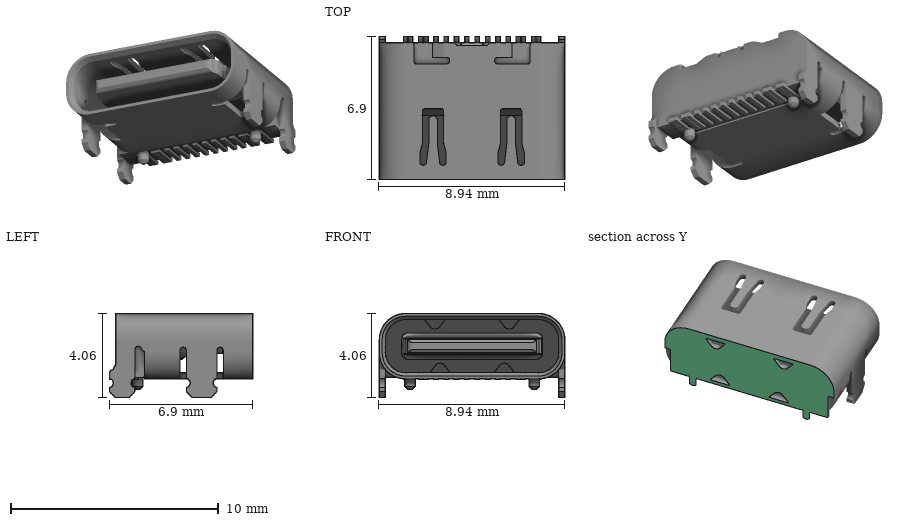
import cadquery as cq
import math


shell_width = 8.94
shell_height = 3.16
shell_depth = 6.6
shell_radius = 1.28
wall = 0.3
lip_chamfer = 0.16
lip_chamfer_depth = 0.3

half_width = shell_width / 2
shell_top = shell_height / 2
shell_bottom = -shell_top
inner_half_width = half_width - wall
inner_top = shell_top - wall
flat_half_width = half_width - shell_radius
corner_top = shell_bottom + shell_radius

leg_drop = 0.9
leg_bottom = shell_bottom - leg_drop
leg_bevel = 0.29
barb_height = 0.2
notch_depth = 0.18
notch_top_rise = 0.02
notch_top = shell_bottom + notch_top_rise
barb_bottom = leg_bottom + leg_bevel
barb_top = barb_bottom + barb_height
front_leg_start = 1.72
front_leg_end = 3.2
rear_leg_start = 5.67
rear_leg_end = 6.9
shoulder_top = -0.88
shoulder_bottom = -1.29
shoulder_radius = 0.15
side_slot_width = 0.3
side_slot_top = -0.05
rear_slot_width = 0.32
rear_slot_top = 0.0
rear_slot_shoulder = 0.14
bottom_slot_end_x = 2.55

housing_front = 5.2
housing_bottom = -1.5
relief_half_width = 0.5
relief_tip_half_width = 0.22
relief_height = 0.46
relief_depth = 0.3
top_relief_x = 1.79
bottom_relief_x = 1.55

tongue_front = 0.28
tongue_half = 0.35
tongue_nose_half = 0.17
tongue_break_half = 0.31
tongue_bevel_break = 0.4
tongue_bevel_end = 0.48
tongue_nose_half_width = 3.1
tongue_corner = 0.25
tongue_neck_half_width = 3.23
tongue_taper_end = 0.84
tongue_half_width = 3.33
tongue_step = 1.55
base_half_width = 3.4
base_half = 0.64
base_radius = 0.34
base_front = 3.08
ramp_start_half = 0.4
ramp_break = 3.33
ramp_break_half = 0.56
ramp_end = 3.42

finger_x = 1.88
finger_slot_end = 3.41
finger_slot_half_width = 0.51
finger_slot_corner = 0.12
finger_tip = 3.08
finger_half_width = 0.205
finger_flare_start = 1.75
finger_flare_end = 1.3
finger_root_outer = 0.635
finger_root_inner = 0.315
finger_root_radius = (finger_root_outer - finger_root_inner) / 2
finger_slot_start = 0.69
finger_root_y = finger_slot_start + finger_root_radius

opening_outer_x = 2.79
opening_depth = 0.26
opening_corner = 0.12
opening_flare = 0.08
opening_length = 1.03
opening_front = shell_depth - opening_length
arm_width = 0.32
arm_radius = arm_width / 2
arm_end_x = 1.08
tab_end_x = 1.91
tab_bend_x = 1.4
tab_root_x = 1.26
tab_bend_drop = 0.02
tab_drop = opening_depth

lip_half_width = 0.5
lip_relief_x = 0.65
lip_relief_radius = 0.15
lip_bevel = 0.13

contact_positions = (0.25, 0.75, 1.25, 1.74, 2.22, 2.47, 2.965, 3.2)
contact_width = 0.225
contact_thickness = 0.2
contact_end = 6.9
contact_drop = 0.03
contact_bottom = shell_bottom - contact_drop
peg_x = 2.99
peg_y = 5.54
peg_radius = 0.26
peg_drop = 0.5
peg_chamfer = 0.15

SIDES = (-1, 1)


def block(x0, x1, y0, y1, z0, z1):
    """Box given by its limits along each axis."""
    size = (x1 - x0, y1 - y0, z1 - z0)
    return cq.Workplane("XY").box(*size).translate(((x0 + x1) / 2, (y0 + y1) / 2, (z0 + z1) / 2))


def rounded_bar(width, height, radius, y0, y1):
    """Bar along Y with a rounded rectangular section."""
    bar = cq.Workplane("XZ", origin=(0, y0, 0)).rect(width, height).extrude(y0 - y1)
    return bar.edges("|Y").fillet(radius)


def mirrored(half):
    """The given body together with its mirror image across X = 0."""
    return half.union(half.mirror("YZ"))


def cavity_bar(offset, y0, y1):
    """Bar following the shell outline, moved inward by offset."""
    return rounded_bar(shell_width - 2 * offset, shell_height - 2 * offset, shell_radius - offset, y0, y1)


def make_shell():
    """Wrapped sheet-metal tube with a tapered lead-in at the mouth."""
    tube = cavity_bar(0, 0, shell_depth).cut(cavity_bar(wall, 0, shell_depth))
    rim = wall - lip_chamfer
    taper = math.degrees(math.atan2(lip_chamfer, lip_chamfer_depth))
    mouth_outline = (
        cq.Sketch().rect(shell_width - 2 * rim, shell_height - 2 * rim).vertices().fillet(shell_radius - rim)
    )
    mouth = cq.Workplane("XZ").placeSketch(mouth_outline).extrude(-lip_chamfer_depth, taper=taper)
    return tube.cut(mouth)


def make_side_slot(y0, y1, top):
    """Round-topped slot through the side wall, open to the bottom of the shell."""
    width = y1 - y0
    slot = block(flat_half_width, half_width, y0, y1, shell_bottom, top - width / 2)
    cap = (
        cq.Workplane("YZ", origin=(flat_half_width, (y0 + y1) / 2, top - width / 2))
        .circle(width / 2)
        .extrude(shell_radius)
    )
    return slot.union(cap)


def make_bottom_slot(y0, y1):
    """Round-ended continuation of a side slot into the bottom of the shell."""
    width = y1 - y0
    end_x = bottom_slot_end_x + width / 2
    slot = block(end_x, flat_half_width, y0, y1, shell_bottom, -inner_top)
    end = cq.Workplane("XY", origin=(end_x, (y0 + y1) / 2, shell_bottom)).circle(width / 2).extrude(wall)
    return slot.union(end)


def make_side_cuts():
    """Slots beside each leg, with the rolled-under shell corner removed between them."""
    rear_slot_start = rear_leg_start - rear_slot_width
    front = front_leg_start - side_slot_width
    back = front_leg_end + side_slot_width
    cuts = block(flat_half_width, half_width, front, back, shell_bottom, corner_top)
    cuts = cuts.union(make_side_slot(front, front_leg_start, side_slot_top))
    cuts = cuts.union(make_bottom_slot(front, front_leg_start))
    cuts = cuts.union(make_side_slot(front_leg_end, back, side_slot_top))
    cuts = cuts.union(block(-half_width, half_width, housing_front, shell_depth, shell_bottom, corner_top))
    cuts = cuts.union(make_side_slot(rear_slot_start, rear_leg_start, rear_slot_top))
    shoulder = (
        cq.Workplane("YZ", origin=(flat_half_width, 0, 0))
        .moveTo(housing_front, corner_top)
        .lineTo(rear_slot_start, corner_top)
        .lineTo(rear_slot_start, corner_top + rear_slot_shoulder)
        .close()
        .extrude(shell_radius)
    )
    cuts = cuts.union(shoulder)
    return mirrored(cuts)


def leg_front_edge(profile, y):
    """Bottom bevel, barb and notch on the mouth side of a leg, drawn upward."""
    profile = profile.lineTo(y + leg_bevel, leg_bottom).lineTo(y, barb_bottom).lineTo(y, barb_top)
    return profile.threePointArc((y + notch_depth, (barb_top + notch_top) / 2), (y, notch_top))


def leg_rear_edge(profile, y):
    """Notch, barb and bottom bevel on the contact side of a leg, drawn downward."""
    profile = profile.threePointArc((y - notch_depth, (barb_top + notch_top) / 2), (y, barb_top))
    return profile.lineTo(y, barb_bottom).lineTo(y - leg_bevel, leg_bottom)


def make_front_leg():
    """Solder leg with a barb and notch on both edges."""
    profile = (
        cq.Workplane("YZ", origin=(inner_half_width, 0, 0))
        .moveTo(front_leg_start, corner_top)
        .lineTo(front_leg_end, corner_top)
        .lineTo(front_leg_end, notch_top)
    )
    profile = leg_rear_edge(profile, front_leg_end)
    return leg_front_edge(profile, front_leg_start).close().extrude(wall)


def make_rear_leg():
    """Rear leg, with a rounded shoulder reaching past the rear edge of the shell."""
    profile = (
        cq.Workplane("YZ", origin=(inner_half_width, 0, 0))
        .moveTo(rear_leg_start, corner_top)
        .lineTo(shell_depth, corner_top)
        .lineTo(shell_depth, shoulder_top)
        .lineTo(rear_leg_end - shoulder_radius, shoulder_bottom + shoulder_radius)
        .radiusArc((rear_leg_end, shoulder_bottom), shoulder_radius)
        .lineTo(rear_leg_end, notch_top)
    )
    profile = leg_rear_edge(profile, rear_leg_end)
    return leg_front_edge(profile, rear_leg_start).close().extrude(wall)


def make_finger_slot(center_x):
    """U-shaped slot that frees a spring finger in the shell top."""
    plane = cq.Workplane("XY", origin=(center_x, 0, inner_top))
    root_center = (finger_root_outer + finger_root_inner) / 2
    corner = finger_slot_corner
    outline = (
        plane.moveTo(-finger_root_outer, finger_root_y)
        .lineTo(-finger_root_outer, finger_flare_end)
        .lineTo(-finger_slot_half_width, finger_flare_start)
        .lineTo(-finger_slot_half_width, finger_slot_end - corner)
        .radiusArc((-finger_slot_half_width + corner, finger_slot_end), corner)
        .lineTo(finger_slot_half_width - corner, finger_slot_end)
        .radiusArc((finger_slot_half_width, finger_slot_end - corner), corner)
        .lineTo(finger_slot_half_width, finger_flare_start)
        .lineTo(finger_root_outer, finger_flare_end)
        .lineTo(finger_root_outer, finger_root_y)
        .threePointArc((root_center, finger_slot_start), (finger_root_inner, finger_root_y))
        .lineTo(finger_half_width, finger_flare_start)
        .lineTo(finger_half_width, finger_tip - finger_half_width)
        .threePointArc((0, finger_tip), (-finger_half_width, finger_tip - finger_half_width))
        .lineTo(-finger_half_width, finger_flare_start)
        .lineTo(-finger_root_inner, finger_root_y)
        .threePointArc((-root_center, finger_slot_start), (-finger_root_outer, finger_root_y))
        .close()
    )
    return outline.extrude(wall)


def make_tab_cuts():
    """L-shaped rear openings in the shell top, and the ramps of the tabs they free."""
    arm_back = opening_front + arm_width
    opening = (
        cq.Workplane("XY", origin=(0, 0, shell_top - opening_depth))
        .moveTo(opening_outer_x + opening_flare, shell_depth)
        .lineTo(opening_outer_x, shell_depth - opening_flare)
        .lineTo(opening_outer_x, opening_front + opening_corner)
        .radiusArc((opening_outer_x - opening_corner, opening_front), opening_corner)
        .lineTo(arm_end_x + arm_radius, opening_front)
        .threePointArc((arm_end_x, opening_front + arm_radius), (arm_end_x + arm_radius, arm_back))
        .lineTo(tab_end_x, arm_back)
        .lineTo(tab_end_x, shell_depth)
        .close()
        .extrude(opening_depth)
    )
    ramp = (
        cq.Workplane("XZ", origin=(0, arm_back, 0))
        .moveTo(tab_root_x, shell_top)
        .lineTo(tab_bend_x, shell_top - tab_bend_drop)
        .lineTo(tab_end_x, shell_top - tab_drop)
        .lineTo(tab_end_x, shell_top)
        .close()
        .extrude(arm_back - shell_depth)
    )
    return mirrored(opening.union(ramp))


def make_rear_lip_cuts():
    """Round reliefs beside the middle rear lip, and the bevel along the lip."""
    relief = (
        cq.Workplane("XY", origin=(lip_relief_x, shell_depth, inner_top))
        .circle(lip_relief_radius)
        .extrude(wall)
    )
    bevel = (
        cq.Workplane("YZ", origin=(-lip_half_width, 0, 0))
        .moveTo(shell_depth, shell_top)
        .lineTo(shell_depth - lip_bevel, shell_top)
        .lineTo(shell_depth, shell_top - lip_bevel)
        .close()
        .extrude(2 * lip_half_width)
    )
    return mirrored(relief).union(bevel)


def make_relief(center_x, side):
    """Round-tipped recess in the housing face; side is 1 at the top and -1 at the bottom."""
    root = side * inner_top
    shoulder = root - side * (relief_height - relief_tip_half_width / 2)
    tip = root - side * relief_height
    outline = (
        cq.Workplane("XZ", origin=(center_x, housing_front, 0))
        .moveTo(-relief_half_width, root)
        .lineTo(-relief_tip_half_width, shoulder)
        .threePointArc((0, tip), (relief_tip_half_width, shoulder))
        .lineTo(relief_half_width, root)
        .close()
    )
    return outline.extrude(-relief_depth)


def make_housing():
    """Insulator filling the rear of the shell, square-cornered in its lower half."""
    housing = cavity_bar(wall, housing_front, shell_depth)
    lower = block(-inner_half_width, inner_half_width, housing_front, shell_depth, housing_bottom, 0)
    housing = housing.union(lower)
    for side in SIDES:
        housing = housing.cut(make_relief(side * top_relief_x, 1))
        housing = housing.cut(make_relief(side * bottom_relief_x, -1))
    return housing


def make_blade():
    """Thin part of the tongue: plan outline with rounded front corners, crossed with its bevelled section."""
    corner_end = tongue_front + tongue_corner
    step_radius = tongue_half_width - tongue_neck_half_width
    plan = (
        cq.Workplane("XY", origin=(0, 0, -tongue_half))
        .moveTo(0, tongue_front)
        .lineTo(tongue_nose_half_width - tongue_corner, tongue_front)
        .radiusArc((tongue_nose_half_width, corner_end), -tongue_corner)
        .lineTo(tongue_neck_half_width, tongue_taper_end)
        .lineTo(tongue_neck_half_width, tongue_step - step_radius)
        .radiusArc((tongue_half_width, tongue_step), -step_radius)
        .lineTo(tongue_half_width, housing_front)
        .lineTo(0, housing_front)
        .close()
        .extrude(2 * tongue_half)
    )
    section = (
        cq.Workplane("YZ", origin=(-tongue_half_width, 0, 0))
        .moveTo(tongue_front, 0)
        .lineTo(tongue_front, tongue_nose_half)
        .lineTo(tongue_bevel_break, tongue_break_half)
        .lineTo(tongue_bevel_end, tongue_half)
        .lineTo(housing_front, tongue_half)
        .lineTo(housing_front, 0)
        .close()
        .extrude(2 * tongue_half_width)
    )
    section = section.union(section.mirror("XY"))
    return mirrored(plan).intersect(section)


def make_tongue_base():
    """Thick root of the tongue, ramped up from the blade in two slopes on top and bottom."""
    base = rounded_bar(2 * base_half_width, 2 * base_half, base_radius, base_front, housing_front)
    for side in SIDES:
        ramp = (
            cq.Workplane("YZ", origin=(-base_half_width, 0, 0))
            .moveTo(base_front, side * ramp_start_half)
            .lineTo(base_front, side * base_half)
            .lineTo(ramp_end, side * base_half)
            .lineTo(ramp_break, side * ramp_break_half)
            .close()
            .extrude(2 * base_half_width)
        )
        base = base.cut(ramp)
    return base


def make_contact(center_x):
    """Solder tail leaving the rear face just below the shell bottom."""
    half = contact_width / 2
    top = contact_bottom + contact_thickness
    return block(center_x - half, center_x + half, housing_front + wall, contact_end, contact_bottom, top)


def make_pegs():
    """Pair of locating pegs with bevelled tips under the housing."""
    bottom = shell_bottom - peg_drop
    peg = cq.Workplane("XY", origin=(peg_x, peg_y, bottom)).circle(peg_radius).extrude(-bottom)
    return mirrored(peg.faces("<Z").chamfer(peg_chamfer))


shell = make_shell().cut(make_side_cuts())
for side in SIDES:
    shell = shell.cut(make_finger_slot(side * finger_x))
shell = shell.cut(make_tab_cuts()).cut(make_rear_lip_cuts())

result = shell.union(mirrored(make_front_leg())).union(mirrored(make_rear_leg()))
result = result.union(make_housing()).union(make_blade()).union(make_tongue_base()).union(make_pegs())
for side in SIDES:
    for position in contact_positions:
        result = result.union(make_contact(side * position))